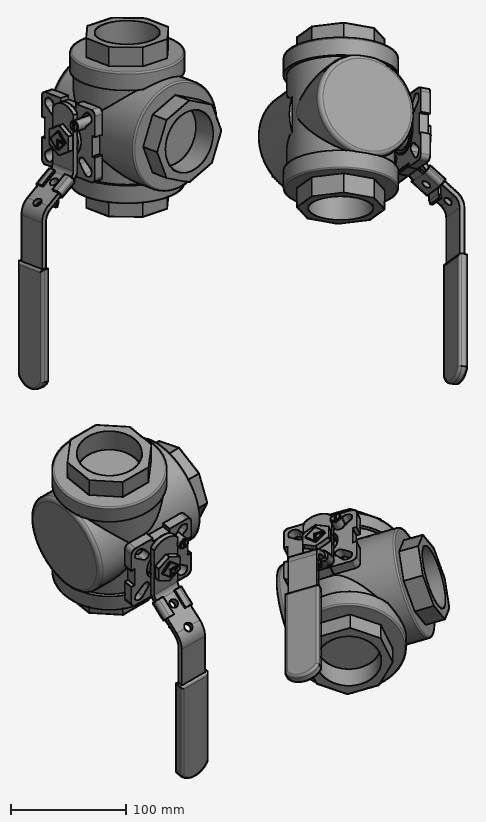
import cadquery as cq
import math


BODY_DIAMETER = 94.2
CAP_DIAMETER = 93.3
CAP_REACH = 50.7
CAP_FILLET = 4.0
COLLAR_DIAMETER = 100.0
COLLAR_START = 44.5
COLLAR_END = 61.3
COLLAR_FILLET = 1.5
PORT_REACH = 79.0
PORT_ACROSS_FLATS = 70.7
PORT_BORE_DIAMETER = 56.8
PORT_BORE_DEPTH = 22.0

STEM_DIAMETER = 29.0
SPACER_DIAMETER = 28.0
WASHER_DIAMETER = 36.0
WASHER_START = 60.0
NUT_CORNER_DIAMETER = 28.0
NUT_FACE = 81.2
STEM_SQUARE_DIAGONAL = 18.0
STEM_FACE = 83.0
FLOW_MARK_WIDTH = 1.8
FLOW_MARK_DEPTH = 1.2

PLATE_SIZE = 67.5
PLATE_BACK = 61.0
PLATE_FRONT = 70.0
PLATE_CORNER_RADIUS = 4.8
PLATE_BORE_DIAMETER = 32.5
NOTCH_WIDTH = 19.0
NOTCH_DEPTH = 3.5
SLOT_INNER_OFFSET = 17.8
SLOT_OUTER_OFFSET = 24.8
SLOT_INNER_DIAMETER = 8.0
SLOT_OUTER_DIAMETER = 10.0

SCREW_DIAMETER = 10.0
SCREW_FACE = 80.3
SCREW_SHOULDER = 58.3
SCREW_TIP_DIAMETER = 6.0
SCREW_TIP = 56.5
SCREW_CHAMFER = 1.0
SCREW_SLOT_WIDTH = 1.8
SCREW_SLOT_DEPTH = 1.5

LEVER_WIDTH = 26.5
LEVER_THICKNESS = 4.8
LEVER_UPPER_FACE = 76.5
LEVER_LOWER_FACE = 113.5
LEVER_TOP = 33.0
LEVER_TOP_RADIUS = 16.3
LEVER_SLOPE = math.radians(35)
UPPER_BEND_Z = -29.5
UPPER_BEND_RADIUS = 7.0
LOWER_BEND_RADIUS = 12.0
LEVER_HOLE_DIAMETER = 8.0
LEVER_HOLE_DISTANCES = (13.0, 37.0)

GRIP_WIDTH = 31.5
GRIP_THICKNESS = 9.0
GRIP_FACE = 116.0
GRIP_TOP = -107.8
GRIP_BOTTOM = -223.0
GRIP_END_RADIUS = 17.2
GRIP_FILLET = 2.5

CLIP_WALL = 2.25
CLIP_WIDTH = LEVER_WIDTH + 2 * CLIP_WALL
CLIP_START = 3.3
CLIP_LENGTH = 18.0
CLIP_CORNER_RADIUS = 4.0
CLIP_MOUTH_WIDTH = 13.3
TONGUE_WIDTH = 18.0
TONGUE_TOP = -31.5
TRIGGER_BOTTOM = -56.8
TRIGGER_KINK_Z = -53.2
TRIGGER_KINK = 1.2


def front_plane(distance):
    """Workplane on the plane Y = -distance, facing -Y, with local x = X and local y = Z."""
    return cq.Workplane("XZ", origin=(0, -distance, 0))


def stem_disc(diameter, start, end):
    return front_plane(start).circle(diameter / 2).extrude(end - start)


slope_plane = cq.Plane(
    origin=(0, -LEVER_UPPER_FACE, UPPER_BEND_Z),
    xDir=(1, 0, 0),
    normal=(0, -math.sin(LEVER_SLOPE), math.cos(LEVER_SLOPE)),
)


def slope_point(distance, depth):
    """(Y, Z) of a point down the slope from the upper bend, at a depth behind the front face."""
    point = slope_plane.toWorldCoords((0, -distance, -depth))
    return point.y, point.z


def make_port(core_diameter):
    """Port along +Z: core, collar and octagon end."""
    core = cq.Workplane("XY").circle(core_diameter / 2).extrude(COLLAR_END - COLLAR_FILLET)
    collar = (
        cq.Workplane("XY", origin=(0, 0, COLLAR_START))
        .circle(COLLAR_DIAMETER / 2)
        .extrude(COLLAR_END - COLLAR_START)
        .faces(">Z").edges().fillet(COLLAR_FILLET)
    )
    octagon = (
        cq.Workplane("XY", origin=(0, 0, COLLAR_END))
        .polygon(8, PORT_ACROSS_FLATS / math.cos(math.pi / 8))
        .extrude(PORT_REACH - COLLAR_END)
    )
    return core.union(collar).union(octagon)


def make_bore():
    """Blind bore entering the end of a port along +Z."""
    return (
        cq.Workplane("XY", origin=(0, 0, PORT_REACH - PORT_BORE_DEPTH))
        .circle(PORT_BORE_DIAMETER / 2)
        .extrude(PORT_BORE_DEPTH)
    )


def to_side(shape):
    """Turn a shape lying along +Z to lie along +X."""
    return shape.rotate((0, 0, 0), (0, 1, 0), 90)


def make_body():
    half_octant = 180 / 8
    vertical_port = make_port(BODY_DIAMETER).rotate((0, 0, 0), (0, 0, 1), half_octant)
    side_port = to_side(make_port(COLLAR_DIAMETER))
    cap = (
        cq.Workplane("YZ")
        .circle(CAP_DIAMETER / 2)
        .extrude(-CAP_REACH)
        .faces("<X").edges().fillet(CAP_FILLET)
    )
    body = vertical_port.union(vertical_port.mirror("XY")).union(side_port).union(cap)
    bore = make_bore()
    return body.cut(bore).cut(bore.mirror("XY")).cut(to_side(bore))


def make_stem():
    shaft = stem_disc(STEM_DIAMETER, 0, PLATE_BACK)
    washer = stem_disc(WASHER_DIAMETER, WASHER_START, PLATE_BACK)
    spacer = stem_disc(SPACER_DIAMETER, PLATE_BACK, LEVER_UPPER_FACE - LEVER_THICKNESS)
    nut = (
        front_plane(LEVER_UPPER_FACE)
        .polygon(6, NUT_CORNER_DIAMETER)
        .extrude(NUT_FACE - LEVER_UPPER_FACE)
        .rotate((0, 0, 0), (0, 1, 0), 30)
    )
    square = front_plane(NUT_FACE).polygon(4, STEM_SQUARE_DIAGONAL).extrude(STEM_FACE - NUT_FACE)
    leg_length = (STEM_SQUARE_DIAGONAL + FLOW_MARK_WIDTH) / 2
    leg_centre = (leg_length - FLOW_MARK_WIDTH) / 2
    mark_plane = front_plane(STEM_FACE)
    side_leg = mark_plane.center(leg_centre, 0).rect(leg_length, FLOW_MARK_WIDTH).extrude(-FLOW_MARK_DEPTH)
    down_leg = mark_plane.center(0, -leg_centre).rect(FLOW_MARK_WIDTH, leg_length).extrude(-FLOW_MARK_DEPTH)
    square = square.cut(side_leg).cut(down_leg)
    return shaft.union(washer).union(spacer).union(nut).union(square)


def make_plate_slot():
    """Tapered slot along the +X diagonal, joining two round ends by their common tangents."""
    inner_radius = SLOT_INNER_DIAMETER / 2
    outer_radius = SLOT_OUTER_DIAMETER / 2
    inner = SLOT_INNER_OFFSET * math.sqrt(2)
    outer = SLOT_OUTER_OFFSET * math.sqrt(2)
    sine = (outer_radius - inner_radius) / (outer - inner)
    cosine = math.sqrt(1 - sine ** 2)
    inner_x = inner - inner_radius * sine
    inner_y = inner_radius * cosine
    outer_x = outer - outer_radius * sine
    outer_y = outer_radius * cosine
    return (
        front_plane(PLATE_BACK)
        .moveTo(inner_x, inner_y)
        .lineTo(outer_x, outer_y)
        .threePointArc((outer + outer_radius, 0), (outer_x, -outer_y))
        .lineTo(inner_x, -inner_y)
        .threePointArc((inner - inner_radius, 0), (inner_x, inner_y))
        .close()
        .extrude(PLATE_FRONT - PLATE_BACK)
    )


def make_plate():
    thickness = PLATE_FRONT - PLATE_BACK
    plate = (
        front_plane(PLATE_BACK)
        .rect(PLATE_SIZE, PLATE_SIZE)
        .extrude(thickness)
        .edges("|Y").fillet(PLATE_CORNER_RADIUS)
        .cut(stem_disc(PLATE_BORE_DIAMETER, PLATE_BACK, PLATE_FRONT))
    )
    notch = (
        front_plane(PLATE_BACK)
        .center((PLATE_SIZE - NOTCH_DEPTH) / 2, 0)
        .rect(NOTCH_DEPTH, NOTCH_WIDTH)
        .extrude(thickness)
    )
    slot = make_plate_slot()
    for quarter in range(4):
        side_angle = 90 * quarter
        plate = plate.cut(notch.rotate((0, 0, 0), (0, 1, 0), side_angle))
        plate = plate.cut(slot.rotate((0, 0, 0), (0, 1, 0), side_angle + 45))
    return plate


def make_screw():
    screw = stem_disc(SCREW_DIAMETER, SCREW_SHOULDER, SCREW_FACE).faces("<Y").chamfer(SCREW_CHAMFER)
    tip = stem_disc(SCREW_TIP_DIAMETER, SCREW_TIP, SCREW_SHOULDER)
    driver_slot = (
        front_plane(SCREW_FACE).rect(SCREW_SLOT_WIDTH, SCREW_DIAMETER).extrude(-SCREW_SLOT_DEPTH)
    )
    screw = screw.union(tip).cut(driver_slot)
    return screw.translate((SLOT_INNER_OFFSET, 0, SLOT_INNER_OFFSET))


def make_lever():
    lower_bend_z = UPPER_BEND_Z - (LEVER_LOWER_FACE - LEVER_UPPER_FACE) * math.tan(LEVER_SLOPE)
    turn = math.pi / 2 - LEVER_SLOPE
    mitre_shift = LEVER_THICKNESS * math.tan(turn / 2)
    strip_bottom = GRIP_TOP - GRIP_WIDTH
    front_face = [
        (-LEVER_UPPER_FACE, LEVER_TOP),
        (-LEVER_UPPER_FACE, UPPER_BEND_Z),
        (-LEVER_LOWER_FACE, lower_bend_z),
        (-LEVER_LOWER_FACE, strip_bottom),
    ]
    back_face = [
        (-LEVER_UPPER_FACE + LEVER_THICKNESS, LEVER_TOP),
        (-LEVER_UPPER_FACE + LEVER_THICKNESS, UPPER_BEND_Z - mitre_shift),
        (-LEVER_LOWER_FACE + LEVER_THICKNESS, lower_bend_z - mitre_shift),
        (-LEVER_LOWER_FACE + LEVER_THICKNESS, strip_bottom),
    ]
    strip = (
        cq.Workplane("YZ")
        .polyline(front_face + back_face[::-1])
        .close()
        .extrude(LEVER_WIDTH / 2, both=True)
    )

    def round_edge(shape, corner, radius):
        return shape.edges(cq.selectors.NearestToPointSelector((0, *corner))).fillet(radius)

    strip = round_edge(strip, front_face[1], UPPER_BEND_RADIUS)
    strip = round_edge(strip, back_face[1], UPPER_BEND_RADIUS + LEVER_THICKNESS)
    strip = round_edge(strip, front_face[2], LOWER_BEND_RADIUS + LEVER_THICKNESS)
    strip = round_edge(strip, back_face[2], LOWER_BEND_RADIUS)

    arc_centre_z = LEVER_TOP - LEVER_TOP_RADIUS
    end_disc = front_plane(0).center(0, arc_centre_z).circle(LEVER_TOP_RADIUS).extrude(LEVER_LOWER_FACE)
    lower_region = (
        front_plane(0)
        .center(0, (arc_centre_z + strip_bottom) / 2)
        .rect(LEVER_WIDTH, arc_centre_z - strip_bottom)
        .extrude(LEVER_LOWER_FACE)
    )
    return strip.intersect(end_disc.union(lower_region))


def make_grip():
    half_width = GRIP_WIDTH / 2
    arc_height = GRIP_END_RADIUS - math.sqrt(GRIP_END_RADIUS ** 2 - half_width ** 2)
    return (
        front_plane(GRIP_FACE - GRIP_THICKNESS)
        .moveTo(-half_width, GRIP_TOP)
        .lineTo(half_width, GRIP_TOP)
        .lineTo(half_width, GRIP_BOTTOM + arc_height)
        .threePointArc((0, GRIP_BOTTOM), (-half_width, GRIP_BOTTOM + arc_height))
        .close()
        .extrude(GRIP_THICKNESS)
        .faces("|Y").edges().fillet(GRIP_FILLET)
    )


def make_clip():
    clip_centre = -(CLIP_START + CLIP_LENGTH / 2)
    clip_depth = LEVER_THICKNESS + 2 * CLIP_WALL
    sleeve = (
        cq.Workplane(slope_plane)
        .center(0, clip_centre)
        .rect(CLIP_WIDTH, CLIP_LENGTH)
        .extrude(clip_depth)
        .edges(cq.selectors.ParallelDirSelector(slope_plane.yDir)).fillet(CLIP_CORNER_RADIUS)
        .translate(slope_plane.zDir * -(LEVER_THICKNESS + CLIP_WALL))
    )
    mouth = (
        cq.Workplane(slope_plane)
        .center(0, clip_centre)
        .rect(CLIP_MOUTH_WIDTH, CLIP_LENGTH)
        .extrude(CLIP_WALL)
    )
    base_upper = slope_point(CLIP_START, LEVER_THICKNESS)
    base_lower = slope_point(CLIP_START, LEVER_THICKNESS + CLIP_WALL)
    tongue_points = [
        (-WASHER_START, TONGUE_TOP),
        (-PLATE_FRONT, TONGUE_TOP),
        base_upper,
        base_lower,
        (-PLATE_FRONT, TONGUE_TOP - CLIP_WALL),
        (-WASHER_START, TONGUE_TOP - CLIP_WALL),
    ]
    end_upper = slope_point(CLIP_START + CLIP_LENGTH, LEVER_THICKNESS)
    end_lower = slope_point(CLIP_START + CLIP_LENGTH, LEVER_THICKNESS + CLIP_WALL)
    trigger_front = end_upper[0] - CLIP_WALL / 2
    trigger_back = trigger_front + CLIP_WALL
    trigger_points = [
        end_upper,
        (trigger_front, end_lower[1]),
        (trigger_front, TRIGGER_KINK_Z),
        (trigger_front - TRIGGER_KINK, TRIGGER_BOTTOM),
        (trigger_back - TRIGGER_KINK, TRIGGER_BOTTOM),
        (trigger_back, TRIGGER_KINK_Z),
        end_lower,
    ]
    clip = sleeve.cut(mouth)
    for outline in (tongue_points, trigger_points):
        clip = clip.union(cq.Workplane("YZ").polyline(outline).close().extrude(TONGUE_WIDTH / 2, both=True))
    return clip


def make_lever_holes():
    """Two holes square to the sloped face, through the strip and the clip base."""
    return (
        cq.Workplane(slope_plane)
        .pushPoints([(0, -distance) for distance in LEVER_HOLE_DISTANCES])
        .circle(LEVER_HOLE_DIAMETER / 2)
        .extrude(-(LEVER_THICKNESS + 2 * CLIP_WALL))
    )


lever = make_lever().union(make_grip()).union(make_clip()).cut(make_lever_holes())
result = make_body().union(make_stem()).union(make_plate()).union(make_screw()).union(lever)